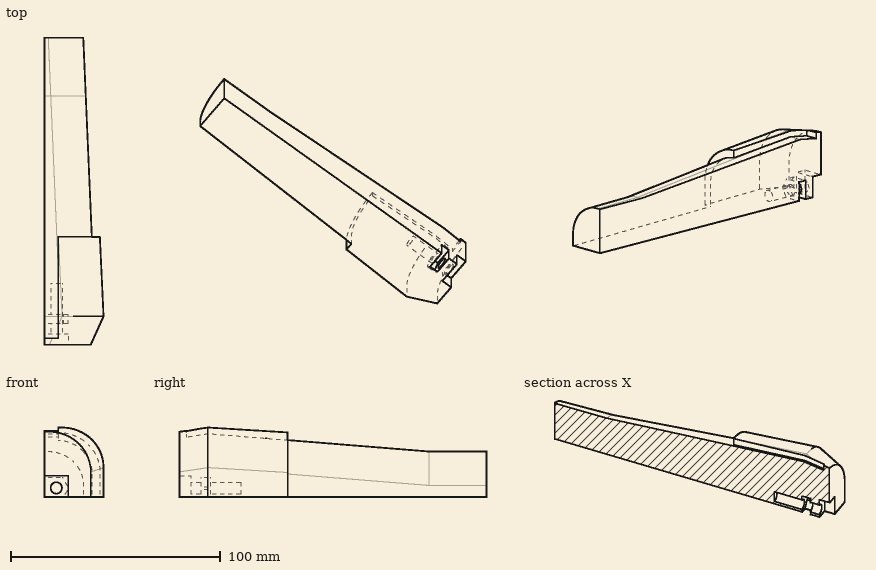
import cadquery as cq

length = 146.7

nose_lip_y = 3.2
ridge_y = 13.6
cap_end_y = 51.6
tail_start_y = 119.0

tail_width = 18.6
tail_height = 21.9
body_ridge_width = 24.3
body_ridge_height = 30.4
body_lip_width = 23.3
body_lip_height = 28.7
body_round_width = 16.9
body_round_height = 16.1

cap_end_width = 26.5
cap_end_height = 31.0
cap_ridge_width = 28.3
cap_ridge_height = 33.3
nose_width = 22.1
nose_height = 31.2
cap_round_width = 20.0
cap_round_height = 19.0

step_width = 6.6

screw_x = 5.7
screw_z = 4.4
screw_diameter = 5.5
screw_end_y = 29.3
nut_across_flats = 10.0
nut_front_y = 10.3
nut_back_y = 14.7
nut_pocket_depth = 11.1
hexagon_turn = 30.0
notch_width = 11.3
notch_depth = 5.5
notch_height = 10.3


def section_wire(y, width, height, round_width, round_height):
    """Upright section with one elliptically rounded upper corner."""
    return (
        cq.Workplane("XZ", origin=(0, y, 0))
        .lineTo(width, 0)
        .lineTo(width, height - round_height)
        .ellipseArc(round_width, round_height, 0, 90, startAtCurrent=True)
        .lineTo(0, height)
        .close()
        .val()
    )


def ruled_solid(stations, round_width, round_height):
    """Join neighbouring (y, width, height) sections with straight-ruled solids."""
    wires = [section_wire(*station, round_width, round_height) for station in stations]
    body = cq.Workplane("XY")
    for near, far in zip(wires, wires[1:]):
        body = body.union(cq.Workplane(cq.Solid.makeLoft([near, far], True)))
    return body


def box(x_size, y_start, y_end, z_start, z_end):
    """Box standing against the flat side wall."""
    return cq.Workplane(
        cq.Solid.makeBox(x_size, y_end - y_start, z_end - z_start, cq.Vector(0, y_start, z_start))
    )


def make_body():
    taper = (body_ridge_width - tail_width) / (length - ridge_y)
    tail_start_width = tail_width + taper * (length - tail_start_y)
    stations = [
        (nose_lip_y, body_lip_width, body_lip_height),
        (ridge_y, body_ridge_width, body_ridge_height),
        (tail_start_y, tail_start_width, tail_height),
        (length, tail_width, tail_height),
    ]
    return ruled_solid(stations, body_round_width, body_round_height)


def make_cap():
    stations = [
        (0, nose_width, nose_height),
        (ridge_y, cap_ridge_width, cap_ridge_height),
        (cap_end_y, cap_end_width, cap_end_height),
    ]
    cap = ruled_solid(stations, cap_round_width, cap_round_height)
    return cap.cut(box(step_width, nose_lip_y, cap_end_y, 0, cap_ridge_height))


def make_nut_pocket():
    """Hexagonal pocket opened out to the flat side wall, its far corner cut off square."""
    nut = (
        cq.Workplane("XZ", origin=(screw_x, nut_back_y, screw_z))
        .transformed(rotate=(0, 0, hexagon_turn))
        .polygon(6, nut_across_flats, circumscribed=True)
        .extrude(nut_back_y - nut_front_y)
    )
    nut_bottom = screw_z - nut_across_flats / 2
    nut_top = screw_z + nut_across_flats / 2
    entry = box(screw_x, nut_front_y, nut_back_y, nut_bottom, nut_top)
    limit = box(nut_pocket_depth, nut_front_y, nut_back_y, nut_bottom, nut_top)
    return nut.union(entry).intersect(limit)


def make_screw_hole():
    return (
        cq.Workplane("XZ", origin=(screw_x, screw_end_y, screw_z))
        .circle(screw_diameter / 2)
        .extrude(screw_end_y)
    )


notch = box(notch_width, 0, notch_depth, 0, notch_height)
result = make_body().union(make_cap()).cut(notch).cut(make_nut_pocket()).cut(make_screw_hole())